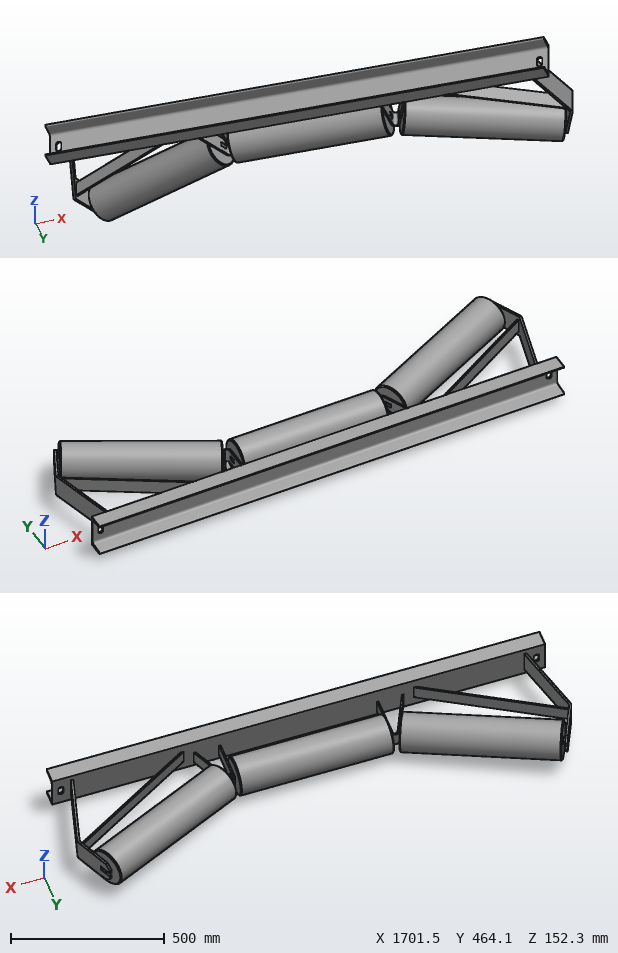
import cadquery as cq
import math


beam_length = 1700.0
beam_height = 120.0
beam_depth = 55.0
web_thickness = 7.0
flange_thickness = 9.0
flange_slope = 0.08
root_radius = 9.0
toe_radius = 4.5
mount_slot_width = 18.0
mount_slot_height = 36.0
mount_slot_x = 820.0

roller_diameter = 133.0
roller_length = 530.0
roller_chamfer = 4.0
shaft_diameter = 25.0
shaft_flat_width = 14.0
trough_angle = 25.0
forward_tilt = 2.0
middle_roller_y = 117.5
middle_roller_z = -20.47
side_roller_center = (-547.7, 238.63, -10.25)

overall_width = 1701.46
outer_thickness = 8.0
outer_height = 80.0
outer_bend_radius = 14.0
outer_bend_y = 247.0
outer_lean = 15.0
outer_tip_y = 385.0
outer_tip_chamfer = 20.0

inner_thickness = 6.0
inner_height = 50.0
inner_bend_radius = 8.0
inner_top_y = 150.0
roller_gap = 4.0

brace_thickness = 6.0
brace_height = 50.0
brace_angle = 30.0
brace_foot_x = -396.0


def direction(angle):
    """Unit vector in the XY plane at an angle in degrees from +X."""
    return cq.Vector(math.cos(math.radians(angle)), math.sin(math.radians(angle)), 0)


def foot(point, leg_direction):
    """Where a line through the point reaches the beam at Y = 0."""
    return point - leg_direction * (point.y / leg_direction.y)


def xy(point):
    """A point or vector as a 2D tuple."""
    return (point.x, point.y)


outer_bend_outside = outer_bend_radius + outer_thickness
outer_bend = cq.Vector(outer_bend_outside - overall_width / 2, outer_bend_y, 0)
inner_bend_outside = inner_bend_radius + inner_thickness
inner_face_x = -(roller_length / 2 + roller_gap)
inner_bend = cq.Vector(inner_face_x - inner_bend_outside, inner_top_y - inner_bend_outside, 0)

side_outward = direction(180 - trough_angle)
side_up = direction(90 - trough_angle)
tilt = math.radians(forward_tilt)
side_axis = side_outward * -math.cos(tilt) + cq.Vector(0, 0, -math.sin(tilt))
side_plane = cq.Plane(
    origin=side_roller_center, xDir=side_axis.toTuple(), normal=side_axis.cross(side_up).toTuple()
)
middle_plane = cq.Plane(
    origin=(0, middle_roller_y, middle_roller_z), xDir=(1, 0, 0), normal=(0, 0, 1)
)

side_center = cq.Vector(*side_roller_center)
side_shaft_outer = (outer_bend - side_center).dot(side_outward) + outer_bend_outside
side_shaft_inner = (side_center - inner_bend).dot(side_outward) - inner_bend_radius
middle_shaft_reach = roller_length / 2 + roller_gap + inner_thickness


def make_beam():
    half = beam_height / 2
    middle = beam_depth / 2
    at_toe = half - flange_thickness + flange_slope * middle
    at_web = half - flange_thickness - flange_slope * (middle - web_thickness)
    outline = [
        (0, -half), (-beam_depth, -half), (-beam_depth, -at_toe), (-web_thickness, -at_web),
        (-web_thickness, at_web), (-beam_depth, at_toe), (-beam_depth, half), (0, half),
    ]
    beam = cq.Workplane("YZ").polyline(outline).close().extrude(beam_length / 2, both=True)
    for side in (-1, 1):
        root = cq.selectors.NearestToPointSelector((0, -web_thickness, side * at_web))
        beam = beam.edges("|X").edges(root).fillet(root_radius)
        toe = cq.selectors.NearestToPointSelector((0, -beam_depth, side * at_toe))
        beam = beam.edges("|X").edges(toe).fillet(toe_radius)
    slots = (
        cq.Workplane("XZ")
        .pushPoints([(-mount_slot_x, 0), (mount_slot_x, 0)])
        .slot2D(mount_slot_height, mount_slot_width, 90)
        .extrude(web_thickness)
    )
    return beam.cut(slots)


def make_roller(plane, reach_minus, reach_plus):
    shell = (
        cq.Workplane("YZ", origin=(-roller_length / 2, 0, 0)).circle(roller_diameter / 2)
        .extrude(roller_length).faces("<X or >X").edges().chamfer(roller_chamfer)
    )
    half_flat = shaft_flat_width / 2
    half_chord = math.sqrt((shaft_diameter / 2) ** 2 - half_flat ** 2)
    shaft = (
        cq.Workplane("YZ", origin=(-reach_minus, 0, 0))
        .moveTo(-half_chord, half_flat)
        .lineTo(half_chord, half_flat)
        .threePointArc((shaft_diameter / 2, 0), (half_chord, -half_flat))
        .lineTo(-half_chord, -half_flat)
        .threePointArc((-shaft_diameter / 2, 0), (-half_chord, half_flat))
        .close().extrude(reach_minus + reach_plus)
    )
    return cq.Workplane(shell.union(shaft).val().moved(plane.location))


def make_outer_bracket():
    lower_normal = direction(180 + outer_lean)
    lower_leg = direction(90 + outer_lean)
    bend_middle = direction(180 + (outer_lean - trough_angle) / 2)
    outside_low = outer_bend + lower_normal * outer_bend_outside
    inside_low = outer_bend + lower_normal * outer_bend_radius
    outside_high = outer_bend + side_outward * outer_bend_outside
    inside_high = outer_bend + side_outward * outer_bend_radius
    upper_leg = side_up * ((outer_tip_y - outside_high.y) / side_up.y)
    bracket = (
        cq.Workplane("XY", origin=(0, 0, -outer_height / 2))
        .moveTo(*xy(foot(outside_low, lower_leg)))
        .lineTo(*xy(outside_low))
        .threePointArc(xy(outer_bend + bend_middle * outer_bend_outside), xy(outside_high))
        .lineTo(*xy(outside_high + upper_leg))
        .lineTo(*xy(inside_high + upper_leg))
        .lineTo(*xy(inside_high))
        .threePointArc(xy(outer_bend + bend_middle * outer_bend_radius), xy(inside_low))
        .lineTo(*xy(foot(inside_low, lower_leg)))
        .close().extrude(outer_height)
    )
    tip = bracket.faces(cq.selectors.DirectionMinMaxSelector(side_up, True))
    bracket = tip.edges("<Z or >Z").chamfer(outer_tip_chamfer)
    return bracket.cut(make_shaft_slot())


def make_shaft_slot():
    """Slot for the shaft flats in the outer bracket, open at the tip of the bracket."""
    shaft_bottom = -shaft_diameter / 2
    slot = cq.Workplane(origin=(-side_shaft_outer - outer_thickness, shaft_bottom, 0)).box(
        3 * outer_thickness, outer_tip_y, shaft_flat_width, centered=(False, False, True)
    )
    return cq.Workplane(slot.val().moved(side_plane.location))


def make_inner_bracket(middle_roller, side_roller):
    bend_middle = direction((180 - trough_angle) / 2)
    outside_side = inner_bend + side_outward * inner_bend_outside
    inside_side = inner_bend + side_outward * inner_bend_radius
    inside_x = inner_face_x - inner_thickness
    bracket = (
        cq.Workplane("XY", origin=(0, 0, middle_roller_z - inner_height / 2))
        .moveTo(*xy(foot(outside_side, side_up)))
        .lineTo(*xy(outside_side))
        .threePointArc(xy(inner_bend + bend_middle * inner_bend_outside), (inner_face_x, inner_bend.y))
        .lineTo(inner_face_x, 0)
        .lineTo(inside_x, 0)
        .lineTo(inside_x, inner_bend.y)
        .threePointArc(xy(inner_bend + bend_middle * inner_bend_radius), xy(inside_side))
        .lineTo(*xy(foot(inside_side, side_up)))
        .close().extrude(inner_height)
    )
    return bracket.cut(middle_roller).cut(side_roller)


def make_brace(outer_bracket):
    along = direction(180 - brace_angle)
    foot_width = brace_thickness / math.sin(math.radians(brace_angle))
    upper_foot = cq.Vector(brace_foot_x, 0, 0)
    lower_foot = cq.Vector(brace_foot_x - foot_width, 0, 0)
    end_x = outer_bend.x - outer_bend_radius
    upper_end = upper_foot + along * ((end_x - upper_foot.x) / along.x)
    lower_end = lower_foot + along * ((end_x - lower_foot.x) / along.x)
    outline = [xy(corner) for corner in (upper_foot, upper_end, lower_end, lower_foot)]
    strip = cq.Workplane("XY").polyline(outline).close().extrude(brace_height / 2, both=True)
    return strip.cut(outer_bracket)


beam = make_beam()
middle_roller = make_roller(middle_plane, middle_shaft_reach, middle_shaft_reach)
side_roller = make_roller(side_plane, side_shaft_outer, side_shaft_inner)
outer_bracket = make_outer_bracket()
inner_bracket = make_inner_bracket(middle_roller, side_roller)
brace = make_brace(outer_bracket)

left_bodies = [side_roller, outer_bracket, inner_bracket, brace]
right_bodies = [body.mirror("YZ") for body in left_bodies]
bodies = [beam, middle_roller] + left_bodies + right_bodies
result = cq.Compound.makeCompound([body.val() for body in bodies])